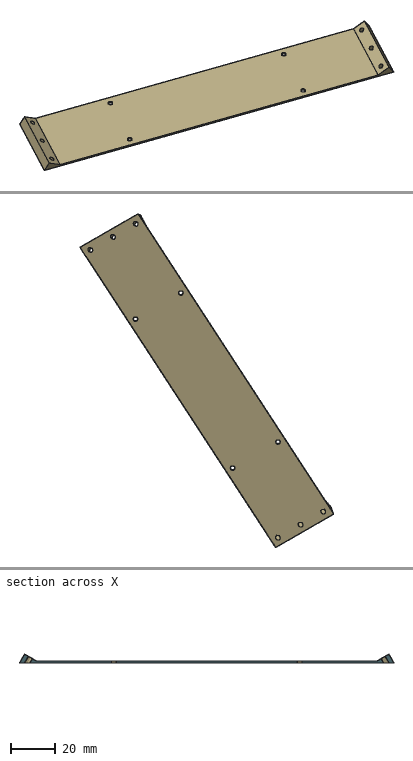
import cadquery as cq
import math

length = 170.0
width = 31.0
height = 4.0
plate_thickness = 1.0

outer_angle = math.radians(60)
inner_angle = math.radians(30)
ridge_inset = height / math.tan(outer_angle)
inner_run = (height - plate_thickness) / math.tan(inner_angle)

hole_diameter = 2.0

mounting_spacing_x = 24.1
mounting_spacing_y = 84.3

ridge_hole_count = 3
ridge_hole_spacing = mounting_spacing_x / (ridge_hole_count - 1)
ridge_hole_length = 2 * height


def make_body():
    """Plate with a triangular ridge across each end, as one extruded profile."""
    end = length / 2
    ridge = end - ridge_inset
    foot = ridge - inner_run
    profile = [
        (-end, 0),
        (end, 0),
        (ridge, height),
        (foot, plate_thickness),
        (-foot, plate_thickness),
        (-ridge, height),
    ]
    return cq.Workplane("YZ").polyline(profile).close().extrude(width / 2, both=True)


def make_mounting_holes():
    """Cutters for the four vertical holes."""
    return (
        cq.Workplane("XY")
        .rarray(mounting_spacing_x, mounting_spacing_y, 2, 2)
        .circle(hole_diameter / 2)
        .extrude(height)
    )


def make_ridge_holes():
    """Cutters for the +Y ridge, centred on its inner face and running down and outward."""
    face_middle_y = length / 2 - ridge_inset - inner_run / 2
    face_middle_z = (height + plate_thickness) / 2
    inward = (0, math.sin(inner_angle), -math.cos(inner_angle))
    inner_face = cq.Plane(origin=(0, face_middle_y, face_middle_z), xDir=(1, 0, 0), normal=inward)
    return (
        cq.Workplane(inner_face)
        .rarray(ridge_hole_spacing, 1.7, ridge_hole_count, 1)
        .circle(hole_diameter / 2)
        .extrude(ridge_hole_length)
    )


ridge_holes = make_ridge_holes()

result = (
    make_body()
    .cut(make_mounting_holes())
    .cut(ridge_holes)
    .cut(ridge_holes.mirror("XZ"))
)